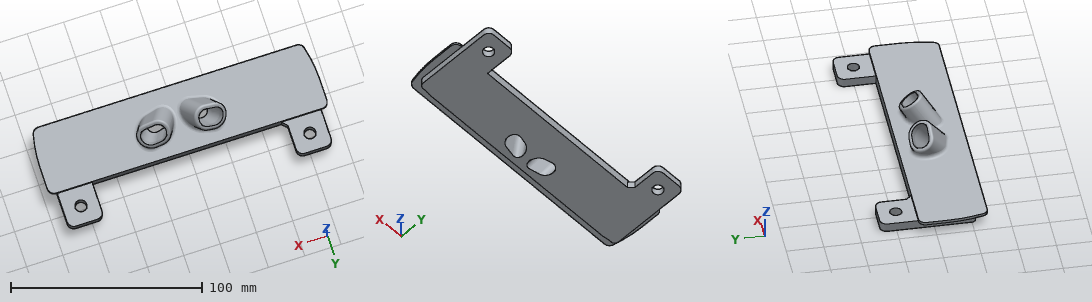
import cadquery as cq
import math

plate_length = 154.0
plate_depth = 37.0
plate_thickness = 1.5
side_arc_radius = plate_length / 2
side_arc_start = 21.4
plate_corner_radius = 3.7

base_length = 145.4
base_thickness = 5.0
base_front = 5.5
base_corner_radius = 2.6
overall_depth = 56.8
foot_length = 4.8
foot_setback = 0.5
foot_taper_length = 3.7
tab_width = 19.2
tab_corner_radius = 3.7
gusset_size = 2.8
screw_hole_diameter = 6.3
screw_hole_inset = tab_width / 2

mouth_x = 15.9
mouth_y = 25.3
mouth_height = 16.3
lean_back = 33.0
lean_out = 21.8
front_flat = 5.9
front_radius = 6.5
rear_radius = 7.5
wall = 2.0
bore_knee_depth = 4.2
upper_draft = 3.0
lower_draft = 3.0
rim_radius = 1.2
root_radius = 2.0
spout_reach = 30.8

plate_top = base_thickness + plate_thickness
edge_tolerance = 0.02


def make_plate():
    half = plate_length / 2

    def side_x(y):
        return math.sqrt(side_arc_radius**2 - (side_arc_start - y) ** 2)

    outline = (
        cq.Workplane("XY", origin=(0, 0, base_thickness))
        .moveTo(-side_x(0), 0)
        .lineTo(side_x(0), 0)
        .threePointArc((side_x(side_arc_start / 2), side_arc_start / 2), (half, side_arc_start))
        .lineTo(half, plate_depth)
        .lineTo(-half, plate_depth)
        .lineTo(-half, side_arc_start)
        .threePointArc((-side_x(side_arc_start / 2), side_arc_start / 2), (-side_x(0), 0))
        .close()
    )
    plate = outline.extrude(plate_thickness)
    return plate.edges("|Z").edges("<Y or >Y").fillet(plate_corner_radius)


def make_base():
    """Base block whose front steps forward slightly between its two end feet."""
    half = base_length / 2
    foot_end = half - foot_length
    middle_end = foot_end - foot_taper_length
    foot_front = base_front + foot_setback
    body = (
        cq.Workplane("XY")
        .polyline([
            (-half, foot_front),
            (-foot_end, foot_front),
            (-middle_end, base_front),
            (middle_end, base_front),
            (foot_end, foot_front),
            (half, foot_front),
            (half, plate_depth),
            (-half, plate_depth),
        ])
        .close()
        .extrude(base_thickness)
        .edges("|Z and (<X or >X) and (not >Y)")
        .fillet(base_corner_radius)
    )
    tab_depth = overall_depth - plate_depth
    for side in (-1, 1):
        tab_x = side * (half - tab_width / 2)
        tab = (
            cq.Workplane("XY")
            .center(tab_x, plate_depth + tab_depth / 2)
            .rect(tab_width, tab_depth)
            .extrude(base_thickness)
            .edges("|Z and >Y")
            .fillet(tab_corner_radius)
        )
        hole = (
            cq.Workplane("XY")
            .center(tab_x, overall_depth - screw_hole_inset)
            .circle(screw_hole_diameter / 2)
            .extrude(base_thickness)
        )
        body = body.union(tab).cut(hole)

    corner_x = tab_width - half
    gusset = (
        cq.Workplane("XY")
        .polyline([
            (corner_x, plate_depth),
            (corner_x + gusset_size, plate_depth),
            (corner_x, plate_depth + gusset_size),
        ])
        .close()
        .extrude(base_thickness)
    )
    return body.union(gusset)


def mouth_plane(side):
    """Plane of the open end of a spout; side is -1 for left and 1 for right."""
    back = math.radians(lean_back)
    out = side * math.radians(lean_out)
    axis = (
        math.cos(back) * math.sin(out),
        math.sin(back),
        math.cos(back) * math.cos(out),
    )
    across = (math.cos(out), 0, -math.sin(out))
    return cq.Plane(origin=(side * mouth_x, mouth_y, mouth_height), xDir=across, normal=axis)


def spout_section(side, depth, inset):
    """Rounded outline across the spout, a given depth below the mouth, shrunk by inset."""
    front = front_radius - inset
    rear = rear_radius - inset
    half_front = front_flat / 2
    half_width = half_front + front
    half_rear = half_width - rear
    diagonal = math.sqrt(0.5)
    front_mid_x = half_front + front * diagonal
    rear_mid_x = half_rear + rear * diagonal
    return (
        cq.Workplane(mouth_plane(side))
        .workplane(offset=-depth)
        .moveTo(-half_front, -front)
        .lineTo(half_front, -front)
        .threePointArc((front_mid_x, -front * diagonal), (half_width, 0))
        .threePointArc((rear_mid_x, rear * diagonal), (half_rear, rear))
        .lineTo(-half_rear, rear)
        .threePointArc((-rear_mid_x, rear * diagonal), (-half_width, 0))
        .threePointArc((-front_mid_x, -front * diagonal), (-half_front, -front))
        .close()
    )


def make_spout(side):
    axis = mouth_plane(side).zDir
    tube = spout_section(side, 0, 0).extrude(-spout_reach)
    tube = tube.faces(cq.selectors.DirectionMinMaxSelector(axis, True)).edges().fillet(rim_radius)
    above_base = (
        cq.Workplane("XY", origin=(0, 0, base_thickness))
        .rect(plate_length, plate_length)
        .extrude(plate_length)
    )
    return tube.intersect(above_base)


def make_bore(side):
    """Bore that is widest a little below the mouth and narrows both ways."""
    upper = spout_section(side, bore_knee_depth, wall).extrude(bore_knee_depth, taper=upper_draft)
    lower = spout_section(side, bore_knee_depth, wall).extrude(-spout_reach, taper=lower_draft)
    return upper.union(lower)


result = make_plate().union(make_base())
for side in (-1, 1):
    result = result.union(make_spout(side))

root_zone = cq.selectors.BoxSelector(
    (-plate_length / 4, root_radius, plate_top - edge_tolerance),
    (plate_length / 4, plate_depth - root_radius, plate_top + edge_tolerance),
)
result = result.edges(root_zone).fillet(root_radius)
for side in (-1, 1):
    result = result.cut(make_bore(side))